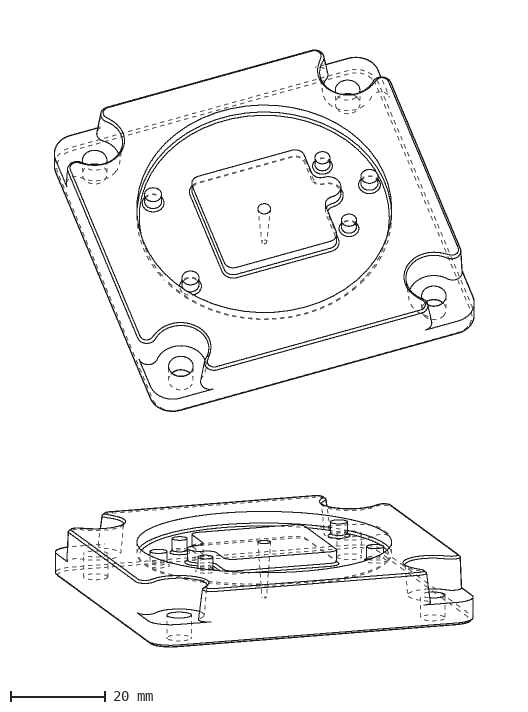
import cadquery as cq
import math

side = 72.0
height = 12.0
corner_radius = 5.0
edge_chamfer = 0.5
half_side = side / 2

ledge_z = 5.0
screw_diameter = 5.2
screw_offset = 28.2
notch_radius = 5.3
notch_draft = 5.0
tooth_radius = 2.0

recess_radius = 26.9
recess_depth = 3.0
floor_z = height - recess_depth
foot_chamfer = 0.5
foot_angle = 45

pad_side = 25.0
pad_corner_radius = 2.0
tab_x = -1.0
tab_top_y = 17.3
tab_radius = 2.7
tab_root_radius = 2.0

large_pin_diameter = 3.6
large_pin_orbit = 23.75
large_pin_angles = (91.9, 242.3, 300.2)
small_pin_diameter = 3.2
small_pin_centres = ((-8.6, 15.9), (8.6, 16.0))

centre_hole_top_diameter = 2.7
centre_hole_bottom_diameter = 1.0


def notch_profile(z, radius):
    """Closed wire of a corner notch at height z, for the +X +Y corner.

    A round of the given radius about the screw hole runs into a rounded
    tooth on each side, and each tooth is tangent to the side of the plate.
    """
    tooth_y = half_side - tooth_radius
    rise = tooth_y - screw_offset
    reach = math.sqrt((radius + tooth_radius) ** 2 - rise**2)
    tooth_x = screw_offset - reach
    share = radius / (radius + tooth_radius)
    join_x = screw_offset - reach * share
    join_y = screw_offset + rise * share
    join_angle = math.atan2(join_y - tooth_y, join_x - tooth_x)
    mid_angle = (math.pi / 2 + join_angle) / 2
    tooth_mid_x = tooth_x + tooth_radius * math.cos(mid_angle)
    tooth_mid_y = tooth_y + tooth_radius * math.sin(mid_angle)
    inner = screw_offset - radius * math.sqrt(0.5)
    return (
        cq.Workplane("XY", origin=(0, 0, z))
        .moveTo(half_side, half_side)
        .lineTo(tooth_x, half_side)
        .threePointArc((tooth_mid_x, tooth_mid_y), (join_x, join_y))
        .threePointArc((inner, inner), (join_y, join_x))
        .threePointArc((tooth_mid_y, tooth_mid_x), (half_side, tooth_x))
        .close()
        .val()
    )


def corner_notch():
    """Drafted cutter that clears the +X +Y corner above the ledge."""
    spread = (height - ledge_z) * math.tan(math.radians(notch_draft))
    lower = notch_profile(ledge_z, notch_radius)
    upper = notch_profile(height, notch_radius + spread)
    return cq.Workplane(obj=cq.Solid.makeLoft([lower, upper], True))


def plate():
    """Plate with four notched corners, chamfered top and bottom rims, screw holes."""
    body = (
        cq.Workplane("XY")
        .rect(side, side)
        .extrude(height)
        .edges("|Z")
        .fillet(corner_radius)
        .faces("<Z")
        .chamfer(edge_chamfer)
    )
    cutter = corner_notch()
    for turn in (0, 90, 180, 270):
        body = body.cut(cutter.rotate((0, 0, 0), (0, 0, 1), turn))
    return (
        body.faces(">Z")
        .chamfer(edge_chamfer)
        .faces("<Z")
        .workplane()
        .rect(2 * screw_offset, 2 * screw_offset, forConstruction=True)
        .vertices()
        .hole(screw_diameter)
    )


def on_floor():
    """Workplane on the recess floor."""
    return cq.Workplane("XY", origin=(0, 0, floor_z))


def recess():
    """Cutter for the round recess, narrowed by a chamfer at its floor."""
    return on_floor().circle(recess_radius).extrude(recess_depth).faces("<Z").chamfer(foot_chamfer)


def with_foot(wall):
    """Add a chamfered foot around a raised feature where it meets the recess floor."""
    outline = wall.faces("<Z").wires().val()
    foot = on_floor().add(outline).toPending().offset2D(foot_chamfer).extrude(foot_chamfer, taper=foot_angle)
    return wall.union(foot)


def pad():
    """Square pad with a round-ended tab on its +Y side."""
    half_pad = pad_side / 2
    square = on_floor().rect(pad_side, pad_side).extrude(recess_depth).edges("|Z").fillet(pad_corner_radius)
    tab_centre_y = tab_top_y - tab_radius
    tab_round = on_floor().center(tab_x, tab_centre_y).circle(tab_radius).extrude(recess_depth)
    tab_neck = (
        on_floor()
        .center(tab_x, tab_centre_y / 2)
        .rect(2 * tab_radius, tab_centre_y)
        .extrude(recess_depth)
    )
    margin = 0.1
    reach = tab_radius + margin
    roots = cq.selectors.BoxSelector(
        (tab_x - reach, half_pad - margin, floor_z),
        (tab_x + reach, half_pad + margin, height),
    )
    wall = square.union(tab_neck).union(tab_round).edges("|Z").edges(roots).fillet(tab_root_radius)
    return with_foot(wall)


def pin(x, y, diameter):
    """Round pin standing on the recess floor."""
    return with_foot(on_floor().center(x, y).circle(diameter / 2).extrude(recess_depth))


def centre_hole():
    """Cutter for the through hole that narrows towards the underside."""
    return cq.Workplane(
        obj=cq.Solid.makeCone(centre_hole_bottom_diameter / 2, centre_hole_top_diameter / 2, height)
    )


result = plate().cut(recess()).union(pad())
for angle in large_pin_angles:
    pin_x = large_pin_orbit * math.cos(math.radians(angle))
    pin_y = large_pin_orbit * math.sin(math.radians(angle))
    result = result.union(pin(pin_x, pin_y, large_pin_diameter))
for pin_x, pin_y in small_pin_centres:
    result = result.union(pin(pin_x, pin_y, small_pin_diameter))
result = result.cut(centre_hole())